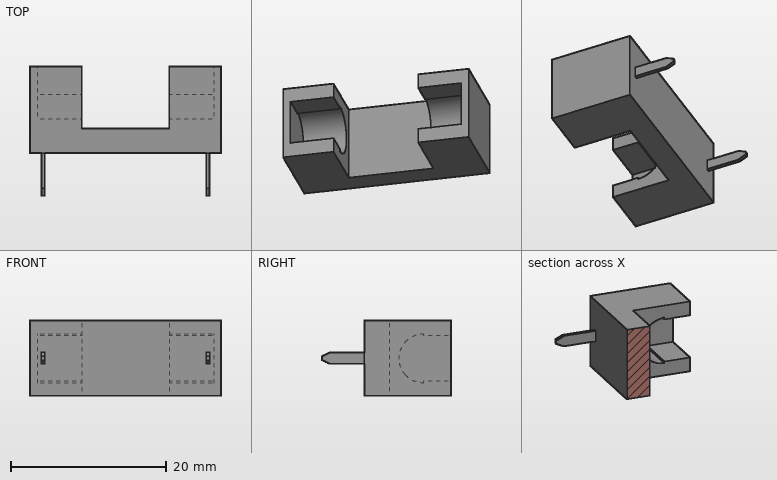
import cadquery as cq

length = 24.7
depth = 11.2
height = 9.75
arm_width = 6.72
spine_thickness = 3.2

cradle_radius = 3.15
cradle_axis_depth = 3.6
mouth_half_width = 2.95
end_wall = 1.0

pin_spacing = 21.25
pin_thickness = 0.45
pin_width = 1.45
pin_length = 5.5
tip_length = 1.01
tip_width = 0.5


def make_housing():
    """Block with its pin side on Y = 0 and a full-height notch between the arms."""
    block = cq.Workplane("XY").box(length, depth, height, centered=(True, False, True))
    notch = cq.Workplane("XY").box(
        length - 2 * arm_width, depth - spine_thickness, height, centered=(True, False, True)
    ).translate((0, spine_thickness, 0))
    return block.cut(notch)


def make_cradle(inner_x, direction):
    """Cradle volume running outward from the inner face of an arm."""
    axis_y = depth - cradle_axis_depth
    return (
        cq.Workplane("YZ", origin=(inner_x, 0, 0))
        .moveTo(depth, mouth_half_width)
        .lineTo(axis_y, mouth_half_width)
        .lineTo(axis_y, cradle_radius)
        .threePointArc((axis_y - cradle_radius, 0), (axis_y, -cradle_radius))
        .lineTo(axis_y, -mouth_half_width)
        .lineTo(depth, -mouth_half_width)
        .close()
        .extrude(direction * (arm_width - end_wall))
    )


def make_pin(center_x):
    """Flat pin projecting toward -Y, tapered in Z at its tip."""
    shoulder_y = tip_length - pin_length
    profile = [
        (0, pin_width / 2),
        (shoulder_y, pin_width / 2),
        (-pin_length, tip_width / 2),
        (-pin_length, -tip_width / 2),
        (shoulder_y, -pin_width / 2),
        (0, -pin_width / 2),
    ]
    return (
        cq.Workplane("YZ", origin=(center_x, 0, 0))
        .polyline(profile)
        .close()
        .extrude(pin_thickness / 2, both=True)
    )


result = make_housing()
for side in (-1, 1):
    result = result.cut(make_cradle(side * (length / 2 - arm_width), side))
    result = result.union(make_pin(side * pin_spacing / 2))